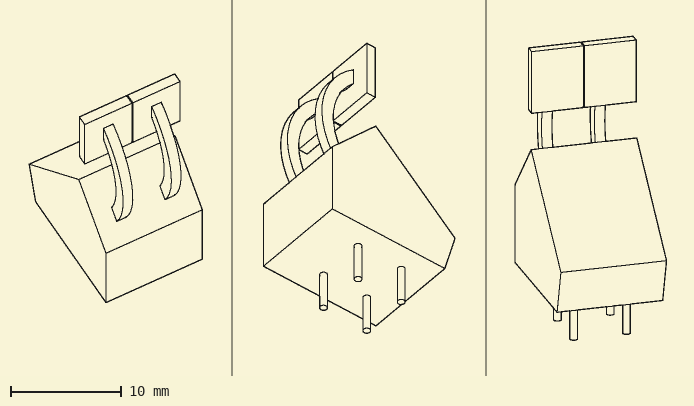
import cadquery as cq


length = 14.2
width = 10.0
nose_height = 4.31
nose_setback = 1.18
apex_x = 9.18
apex_height = 12.8
back_height = 7.52

pitch = width / 2
pin_diameter = 0.7
pin_length = 4.0
front_pin_x = 4.23

tab_gap = 0.1
tab_width = pitch - tab_gap
tab_thickness = 1.0
tab_height = 6.0
tab_top = 26.3 - pin_length
tab_back_x = apex_x + tab_thickness

arm_center_x = 5.35
arm_center_z = 13.5
arm_outer_radius = 8.47
arm_depth = 1.32
arm_inner_radius = arm_outer_radius - arm_depth
arm_width = 1.0

column_positions = [-pitch / 2, pitch / 2]
pin_rows = [front_pin_x, front_pin_x + pitch]


def extrude_about(sketch, y, thickness):
    """Extrude an XZ outline to the given thickness, centred on the plane at y."""
    return sketch.extrude(thickness / 2, both=True).translate((0, y, 0))


def make_housing():
    outline = cq.Workplane("XZ").polyline([
        (nose_setback, 0),
        (length, 0),
        (length, back_height),
        (apex_x, apex_height),
        (0, nose_height),
    ]).close()
    return extrude_about(outline, 0, width)


def make_pin(x, y):
    """Round pin hanging from the housing underside."""
    return cq.Workplane("XY").center(x, y).circle(pin_diameter / 2).extrude(-pin_length)


def make_tab(y):
    """Flat finger tab whose front face stands over the housing apex."""
    return cq.Workplane("XY").box(tab_thickness, tab_width, tab_height).translate(
        (apex_x + tab_thickness / 2, y, tab_top - tab_height / 2)
    )


def make_arm(y):
    """Ring segment running from the back of a tab down to the housing's rear slope."""
    ring = (
        cq.Workplane("XZ")
        .center(arm_center_x, arm_center_z)
        .circle(arm_outer_radius)
        .circle(arm_inner_radius)
    )
    rear_slope = (back_height - apex_height) / (length - apex_x)
    slope_height_at_tab = apex_height + rear_slope * tab_thickness
    free_space = cq.Workplane("XZ").polyline([
        (tab_back_x, slope_height_at_tab),
        (length, back_height),
        (length, tab_top),
        (tab_back_x, tab_top),
    ]).close()
    return extrude_about(ring, y, arm_width).intersect(extrude_about(free_space, y, arm_width))


housing = make_housing()
pins = [make_pin(x, y) for x in pin_rows for y in column_positions]
tabs = [make_tab(y) for y in column_positions]
arms = [make_arm(y) for y in column_positions]

result = cq.Compound.makeCompound([
    body.val().Solids()[0] for body in [housing, *pins, *tabs, *arms]
])